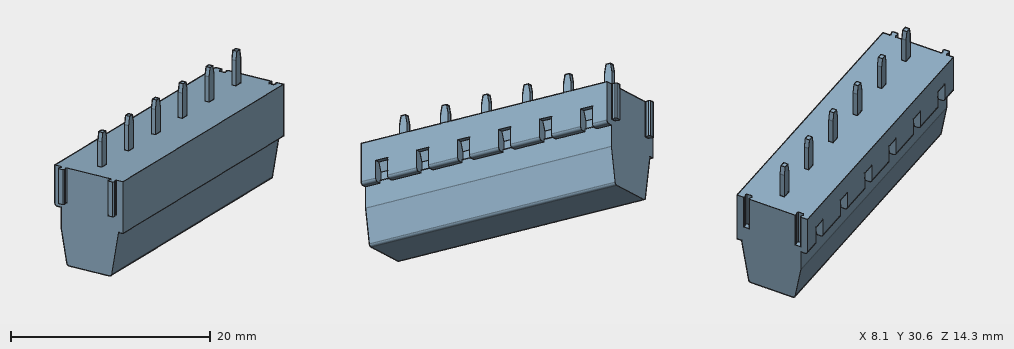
import cadquery as cq

pin_count = 6
overall_length = 30.6
overall_height = 14.32
body_width = 8.1
body_length = 30.0
body_height = 10.62
body_left = -body_width / 2
body_right = body_width / 2
body_front = -overall_length / 2 + (overall_length - body_length)
body_rear = body_front + body_length
pitch = body_length / pin_count

left_step = 0.75
left_step_drop = 4.45
left_taper_drop = 6.73
right_step = 0.52
right_step_drop = 5.63
left_base_inset = 1.47
right_base_inset = 1.38
skirt_fillet = 0.3
base_fillet = 0.3

window_width = 1.45
window_drop = 2.23
window_bend_drop = 3.2
window_ledge_drop = 4.13
window_top_depth = 0.55
window_back_depth = 0.92

pin_thickness = 0.5
pin_width = 0.92
pin_tip_width = 0.55
pin_tip_height = 0.95

tab_spacing = 5.9
tab_height = 3.8
tab_depth = overall_length - body_length
tab_root_width = 0.67
tab_neck_width = 0.52
tab_root_bevel = 0.1
tab_widest = 0.73
tab_tip_width = 0.55
tab_tip_bevel = 0.15


def make_body():
    """Extrude the cross-section along Y and round the skirt and base edges."""
    wall_left = body_left + left_step
    wall_right = body_right - right_step
    left_step_z = body_height - left_step_drop
    right_step_z = body_height - right_step_drop
    outline = [
        (body_left, body_height),
        (body_right, body_height),
        (body_right, right_step_z),
        (wall_right, right_step_z),
        (body_right - right_base_inset, 0),
        (body_left + left_base_inset, 0),
        (wall_left, body_height - left_taper_drop),
        (wall_left, left_step_z),
        (body_left, left_step_z),
    ]
    body = cq.Workplane("XZ", origin=(0, body_front, 0)).polyline(outline).close().extrude(-body_length)
    middle_y = (body_front + body_rear) / 2
    skirt_edge = cq.selectors.NearestToPointSelector((body_left, middle_y, left_step_z))
    body = body.edges(skirt_edge).fillet(skirt_fillet)
    return body.faces("<Z").edges("|Y").fillet(base_fillet)


def make_window(center_y):
    """Slot through the skirt with a sloped upper back, recessed behind the lower wall above a narrow ledge."""
    outline = [
        (body_left, body_height - window_drop),
        (body_left + window_top_depth, body_height - window_drop),
        (body_left + window_back_depth, body_height - window_bend_drop),
        (body_left + window_back_depth, body_height - window_ledge_drop),
        (body_left + left_step, body_height - window_ledge_drop),
        (body_left + left_step, body_height - left_step_drop),
        (body_left, body_height - left_step_drop),
    ]
    plane = cq.Workplane("XZ", origin=(0, center_y - window_width / 2, 0))
    return plane.polyline(outline).close().extrude(-window_width)


def make_pin(center_y):
    """Flat blade standing on the top face."""
    shoulder_z = overall_height - pin_tip_height
    outline = [
        (-pin_width / 2, body_height),
        (pin_width / 2, body_height),
        (pin_width / 2, shoulder_z),
        (pin_tip_width / 2, overall_height),
        (-pin_tip_width / 2, overall_height),
        (-pin_width / 2, shoulder_z),
    ]
    plane = cq.Workplane("YZ", origin=(0, center_y, 0))
    return plane.polyline(outline).close().extrude(pin_thickness / 2, both=True)


def make_dovetail(center_x, root_y):
    """Upright dovetail along -Y: flared root, narrow neck, widening flanks and a bevelled tip."""
    widest_y = -tab_depth + tab_tip_bevel
    outline = [
        (-tab_root_width / 2, 0),
        (-tab_neck_width / 2, -tab_root_bevel),
        (-tab_widest / 2, widest_y),
        (-tab_tip_width / 2, -tab_depth),
        (tab_tip_width / 2, -tab_depth),
        (tab_widest / 2, widest_y),
        (tab_neck_width / 2, -tab_root_bevel),
        (tab_root_width / 2, 0),
    ]
    plane = cq.Workplane("XY", origin=(center_x, root_y, body_height - tab_height))
    return plane.polyline(outline).close().extrude(tab_height)


result = make_body()

for index in range(pin_count):
    station_y = body_front + (index + 0.5) * pitch
    result = result.cut(make_window(station_y)).union(make_pin(station_y))

for tab_x in (-tab_spacing / 2, tab_spacing / 2):
    result = result.union(make_dovetail(tab_x, body_front))
    result = result.cut(make_dovetail(tab_x, body_rear))